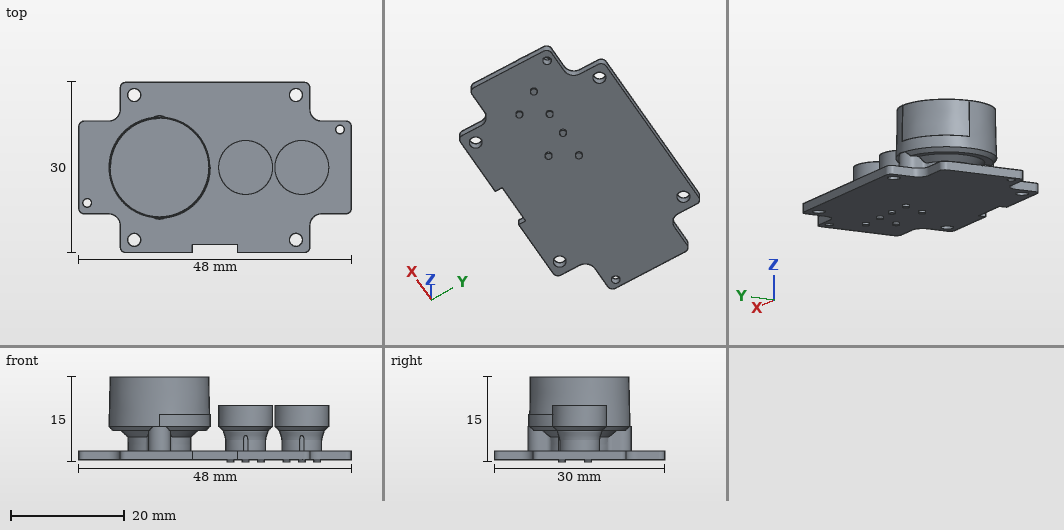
import cadquery as cq
import math

BOARD_LENGTH = 48.0
BOARD_WIDTH = 30.0
BODY_LENGTH = 33.4
END_WIDTH = 16.35
BOARD_THICKNESS = 1.6
OUTER_CORNER_RADIUS = 1.0
INNER_CORNER_RADIUS = 2.0
CORNER_MARGIN = 0.5
NOTCH_WIDTH = 7.9
NOTCH_DEPTH = 1.45
NOTCH_X = -0.05
MOUNT_HOLE_DIAMETER = 2.25
MOUNT_HOLE_SPACING_X = 28.45
MOUNT_HOLE_SPACING_Y = 25.5
LOCATING_HOLE_DIAMETER = 1.5
LOCATING_HOLES = [(-22.5, -6.25), (22.0, 6.65)]

LARGE_KNOB_X = -9.8
LARGE_KNOB_HEIGHT = 13.0
CAP_TOP_RADIUS = 8.7
CAP_RIM_RADIUS = 8.9
CAP_RIM_HEIGHT = 4.3
CAP_UNDERSIDE_HEIGHT = 3.55
CAP_UNDERSIDE_RADIUS = 8.2
FLARE_RADIUS = 6.75
FLARE_BASE_HEIGHT = 2.45
NECK_TOP_RADIUS = 5.55
NECK_RADIUS = 5.5
NECK_STRAIGHT_HEIGHT = 1.1
STEP_HEIGHT = 6.45
STEP_DEPTH = 0.07
RAISED_BAND_START = 270
RECESS_START = 90
POST_OFFSET = 7.15
POST_RADIUS = 1.95
POST_FILLET_RADIUS = 0.95

SMALL_KNOB_XS = [5.4, 15.25]
SMALL_KNOB_HEIGHT = 8.0
SMALL_CAP_RADIUS = 4.75
SMALL_UNDERSIDE_RADIUS = 3.95
SMALL_FLARE_HEIGHT = 3.25
SMALL_FLARE_RADIUS = 3.9
SMALL_FLARE_SAG = 0.05
SMALL_NECK_RADIUS = 3.5
SMALL_NECK_HEIGHT = 1.8
KEY_WIDTH = 1.0
KEY_REACH = 3.7
LEG_DIAMETER = 1.25
LEG_PROJECTION = 0.4
LEG_SPACING_X = 2.7
LEG_POINTS = [(-LEG_SPACING_X, 1.5), (0, -3.1), (LEG_SPACING_X, 1.5)]


def leg_cylinders(knob_x):
    """Three round legs from the knob's seat to just under the board."""
    return (
        cq.Workplane("XY")
        .workplane(offset=-BOARD_THICKNESS - LEG_PROJECTION)
        .pushPoints([(knob_x + x, y) for x, y in LEG_POINTS])
        .circle(LEG_DIAMETER / 2)
        .extrude(BOARD_THICKNESS + LEG_PROJECTION)
    )


def make_board():
    """Cross-shaped board with its top face at Z = 0."""
    base = cq.Workplane("XY").workplane(offset=-BOARD_THICKNESS)
    ends = base.rect(BOARD_LENGTH, END_WIDTH).extrude(BOARD_THICKNESS)
    board = base.rect(BODY_LENGTH, BOARD_WIDTH).extrude(BOARD_THICKNESS).union(ends)

    corner_x = BODY_LENGTH / 2 + CORNER_MARGIN
    corner_y = END_WIDTH / 2 + CORNER_MARGIN
    inner_corners = cq.selectors.BoxSelector(
        (-corner_x, -corner_y, -BOARD_THICKNESS), (corner_x, corner_y, 0)
    )
    board = board.edges("|Z").edges(inner_corners).fillet(INNER_CORNER_RADIUS)
    for face in ("<X", ">X", "<Y", ">Y"):
        board = board.faces(face).edges("|Z").fillet(OUTER_CORNER_RADIUS)

    notch = (
        base.center(NOTCH_X, -BOARD_WIDTH / 2)
        .rect(NOTCH_WIDTH, 2 * NOTCH_DEPTH)
        .extrude(BOARD_THICKNESS)
    )
    mount_holes = (
        base.rect(MOUNT_HOLE_SPACING_X, MOUNT_HOLE_SPACING_Y, forConstruction=True)
        .vertices()
        .circle(MOUNT_HOLE_DIAMETER / 2)
        .extrude(BOARD_THICKNESS)
    )
    locating_holes = (
        base.pushPoints(LOCATING_HOLES)
        .circle(LOCATING_HOLE_DIAMETER / 2)
        .extrude(BOARD_THICKNESS)
    )
    board = board.cut(notch).cut(mount_holes).cut(locating_holes)
    for knob_x in SMALL_KNOB_XS:
        board = board.cut(leg_cylinders(knob_x))
    return board


def make_post(side):
    """Round-ended post on the +Y (side 1) or -Y (side -1) flank, filleted into the neck."""
    fillet_x = POST_RADIUS + POST_FILLET_RADIUS
    center_distance = NECK_RADIUS + POST_FILLET_RADIUS
    fillet_y = math.sqrt(center_distance**2 - fillet_x**2)
    tangent_x = fillet_x * NECK_RADIUS / center_distance
    tangent_y = fillet_y * NECK_RADIUS / center_distance
    middle_angle = math.pi + math.atan2(fillet_y, fillet_x) / 2
    middle_x = fillet_x + POST_FILLET_RADIUS * math.cos(middle_angle)
    middle_y = fillet_y + POST_FILLET_RADIUS * math.sin(middle_angle)
    return (
        cq.Workplane("XY")
        .moveTo(tangent_x, side * tangent_y)
        .threePointArc((middle_x, side * middle_y), (POST_RADIUS, side * fillet_y))
        .lineTo(POST_RADIUS, side * POST_OFFSET)
        .threePointArc((0, side * (POST_OFFSET + POST_RADIUS)), (-POST_RADIUS, side * POST_OFFSET))
        .lineTo(-POST_RADIUS, side * fillet_y)
        .threePointArc((-middle_x, side * middle_y), (-tangent_x, side * tangent_y))
        .lineTo(0, 0)
        .close()
        .extrude(CAP_RIM_HEIGHT)
    )


def quarter_ring(start_angle, inner_low, inner_high, thickness, bottom, top):
    """Quarter of a tapered ring, counterclockwise from start_angle about the Z axis."""
    return (
        cq.Workplane("XZ")
        .polyline([
            (inner_low, bottom),
            (inner_low + thickness, bottom),
            (inner_high + thickness, top),
            (inner_high, top),
        ])
        .close()
        .revolve(90, (0, 0, 0), (0, 1, 0))
        .rotate((0, 0, 0), (0, 0, 1), start_angle)
    )


def step_cap_quarters(knob):
    """Raise the lower +X -Y quarter of the cap wall and recess the upper -X +Y quarter."""
    taper = (CAP_RIM_RADIUS - CAP_TOP_RADIUS) / (LARGE_KNOB_HEIGHT - CAP_RIM_HEIGHT)
    step_radius = CAP_TOP_RADIUS + taper * (LARGE_KNOB_HEIGHT - STEP_HEIGHT)
    band_thickness = CAP_RIM_RADIUS + STEP_DEPTH - CAP_UNDERSIDE_RADIUS
    raised_band = quarter_ring(
        RAISED_BAND_START, CAP_UNDERSIDE_RADIUS, CAP_UNDERSIDE_RADIUS,
        band_thickness, CAP_RIM_HEIGHT, STEP_HEIGHT,
    )
    recess = quarter_ring(
        RECESS_START, step_radius - STEP_DEPTH, CAP_TOP_RADIUS - STEP_DEPTH,
        2 * STEP_DEPTH, STEP_HEIGHT, LARGE_KNOB_HEIGHT,
    )
    return knob.union(raised_band).cut(recess)


def make_large_knob():
    """Tapered cap on a flared neck with two posts and two stepped quarters."""
    knob = (
        cq.Workplane("XZ")
        .polyline([
            (0, 0),
            (NECK_RADIUS, 0),
            (NECK_RADIUS, NECK_STRAIGHT_HEIGHT),
            (NECK_TOP_RADIUS, FLARE_BASE_HEIGHT),
            (FLARE_RADIUS, CAP_UNDERSIDE_HEIGHT),
            (CAP_UNDERSIDE_RADIUS, CAP_UNDERSIDE_HEIGHT),
            (CAP_RIM_RADIUS, CAP_RIM_HEIGHT),
            (CAP_TOP_RADIUS, LARGE_KNOB_HEIGHT),
            (0, LARGE_KNOB_HEIGHT),
        ])
        .close()
        .revolve(360, (0, 0, 0), (0, 1, 0))
    )
    knob = step_cap_quarters(knob)
    for side in (-1, 1):
        knob = knob.union(make_post(side))
    return knob.translate((LARGE_KNOB_X, 0, 0))


def make_small_knob(knob_x):
    """Round cap on a flared neck, with a key on the -Y flank and three legs."""
    knob = (
        cq.Workplane("XZ")
        .moveTo(0, 0)
        .lineTo(SMALL_NECK_RADIUS, 0)
        .lineTo(SMALL_NECK_RADIUS, SMALL_NECK_HEIGHT)
        .sagittaArc((SMALL_FLARE_RADIUS, SMALL_FLARE_HEIGHT), SMALL_FLARE_SAG)
        .lineTo(SMALL_UNDERSIDE_RADIUS, CAP_UNDERSIDE_HEIGHT)
        .lineTo(SMALL_CAP_RADIUS, CAP_RIM_HEIGHT)
        .lineTo(SMALL_CAP_RADIUS, SMALL_KNOB_HEIGHT)
        .lineTo(0, SMALL_KNOB_HEIGHT)
        .close()
        .revolve(360, (0, 0, 0), (0, 1, 0))
        .translate((knob_x, 0, 0))
    )
    key_radius = KEY_WIDTH / 2
    key_center_y = key_radius - KEY_REACH
    key = (
        cq.Workplane("XY")
        .moveTo(knob_x - key_radius, 0)
        .lineTo(knob_x - key_radius, key_center_y)
        .threePointArc((knob_x, -KEY_REACH), (knob_x + key_radius, key_center_y))
        .lineTo(knob_x + key_radius, 0)
        .close()
        .extrude(SMALL_FLARE_HEIGHT)
    )
    return knob.union(key).union(leg_cylinders(knob_x))


board = make_board()
large_knob = make_large_knob()
small_knobs = [make_small_knob(knob_x) for knob_x in SMALL_KNOB_XS]

result = cq.Compound.makeCompound(
    [board.val(), large_knob.val(), *[knob.val() for knob in small_knobs]]
)